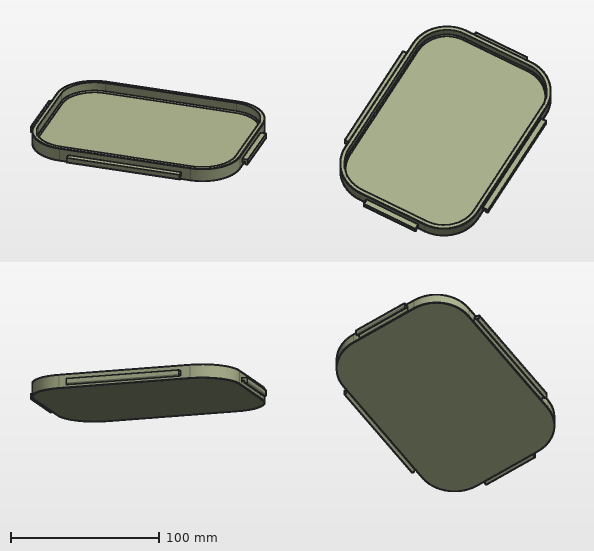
import cadquery as cq

overall_x = 154.0
overall_y = 111.0
height = 9.5

rail_reach = 4.0
body_x = overall_x - 2 * rail_reach
body_y = overall_y - 2 * rail_reach
corner_radius = 26.5
wall = 3.0
floor_thickness = 2.5
floor_chamfer = 1.0
edge_chamfer = 0.3

rail_top = 5.4
rail_drop = 4.0
lip_radius = rail_reach / 4
ledge_thickness = 1.8
long_rail = 80.1
short_rail = 40.0
root_overlap = 0.8


def rounded_block(size_x, size_y, radius, depth, base):
    """Upright block with rounded vertical corners, standing at height base."""
    block = cq.Workplane("XY").workplane(offset=base).rect(size_x, size_y).extrude(depth)
    return block.edges("|Z").fillet(radius)


def make_tray():
    outer = rounded_block(body_x, body_y, corner_radius, height, 0)
    outer = outer.faces("<Z or >Z").edges().chamfer(edge_chamfer)
    pocket = rounded_block(
        body_x - 2 * wall,
        body_y - 2 * wall,
        corner_radius - wall,
        height - floor_thickness,
        floor_thickness,
    )
    pocket = pocket.faces("<Z").edges().chamfer(floor_chamfer)
    return outer.cut(pocket)


def make_rail(length, wall_distance):
    """Clip rail running along Y on the +X side, rooted slightly inside the wall."""
    tip_x = wall_distance + rail_reach
    lip_inner_x = tip_x - 2 * lip_radius
    lip_round_z = rail_top - rail_drop + lip_radius
    groove_top_z = rail_top - ledge_thickness
    groove_side_z = groove_top_z - lip_radius
    root_x = wall_distance - root_overlap
    return (
        cq.Workplane("XZ")
        .moveTo(root_x, rail_top)
        .lineTo(tip_x, rail_top)
        .lineTo(tip_x, lip_round_z)
        .threePointArc((tip_x - lip_radius, rail_top - rail_drop), (lip_inner_x, lip_round_z))
        .lineTo(lip_inner_x, groove_side_z)
        .threePointArc((lip_inner_x - lip_radius, groove_top_z), (wall_distance, groove_side_z))
        .lineTo(root_x, groove_side_z)
        .close()
        .extrude(length / 2, both=True)
    )


result = make_tray()
side_rail = make_rail(short_rail, body_x / 2)
front_rail = make_rail(long_rail, body_y / 2)
for rail, first_angle in ((side_rail, 0), (front_rail, 90)):
    for angle in (first_angle, first_angle + 180):
        result = result.union(rail.rotate((0, 0, 0), (0, 0, 1), angle))